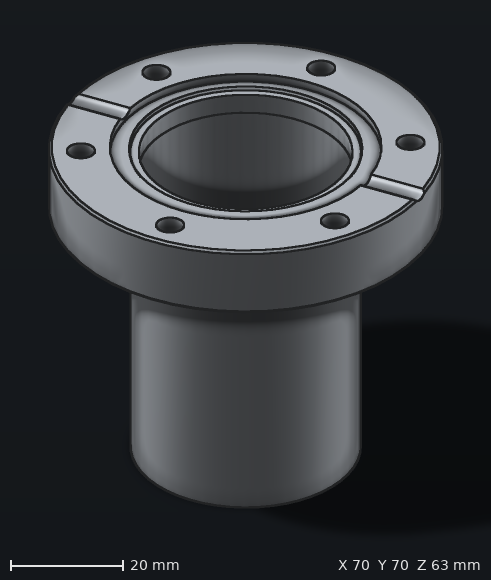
import cadquery as cq

total_height = 63.0
flange_diameter = 70.0
flange_thickness = 13.0
edge_chamfer = 0.5

tube_outer_diameter = 41.0
bore_diameter = 38.0
tube_top_below_seat = 3.8

recess_diameter = 48.3
recess_depth = 1.6
knife_diameter = 41.5
knife_depth = 0.5
seat_diameter = 41.0
seat_depth = 1.1

bolt_count = 6
bolt_hole_diameter = 5.0
bolt_circle_diameter = 58.65
first_bolt_angle = 30.0

groove_width = 4.0
groove_depth = 0.9

flange_bottom = total_height - flange_thickness
tube_length = total_height - seat_depth - tube_top_below_seat


def make_flange_blank():
    """Turned flange with its stepped bore and knife-edge recess."""
    bore_radius = bore_diameter / 2
    socket_radius = tube_outer_diameter / 2
    flange_radius = flange_diameter / 2
    profile = [
        (socket_radius, flange_bottom),
        (flange_radius - edge_chamfer, flange_bottom),
        (flange_radius, flange_bottom + edge_chamfer),
        (flange_radius, total_height - edge_chamfer),
        (flange_radius - edge_chamfer, total_height),
        (recess_diameter / 2, total_height),
        (recess_diameter / 2, total_height - recess_depth),
        (knife_diameter / 2, total_height - knife_depth),
        (seat_diameter / 2, total_height - seat_depth),
        (bore_radius, total_height - seat_depth),
        (bore_radius, tube_length),
        (socket_radius, tube_length),
    ]
    return cq.Workplane("XZ").polyline(profile).close().revolve(360, (0, 0), (0, 1))


def make_bolt_holes():
    """Cutters for the ring of through holes."""
    return (
        cq.Workplane("XY", origin=(0, 0, flange_bottom))
        .polarArray(bolt_circle_diameter / 2, first_bolt_angle, 360, bolt_count)
        .circle(bolt_hole_diameter / 2)
        .extrude(flange_thickness)
    )


def make_grooves():
    """Cutter along X for both grooves, kept clear of the sealing recess."""
    groove_radius = ((groove_width / 2) ** 2 + groove_depth**2) / (2 * groove_depth)
    groove_axis_height = total_height - groove_depth + groove_radius
    rod = (
        cq.Workplane("YZ")
        .center(0, groove_axis_height)
        .circle(groove_radius)
        .extrude(flange_diameter / 2, both=True)
    )
    recess_core = (
        cq.Workplane("XY", origin=(0, 0, total_height - recess_depth))
        .circle(recess_diameter / 2)
        .extrude(recess_depth + 2 * groove_radius)
    )
    return rod.cut(recess_core)


def make_flange():
    return make_flange_blank().cut(make_bolt_holes()).cut(make_grooves())


def make_tube():
    """Plain tube seated against the shoulder inside the flange."""
    return (
        cq.Workplane("XY")
        .circle(tube_outer_diameter / 2)
        .circle(bore_diameter / 2)
        .extrude(tube_length)
    )


flange = make_flange()
tube = make_tube()

result = cq.Compound.makeCompound([flange.val(), tube.val()])